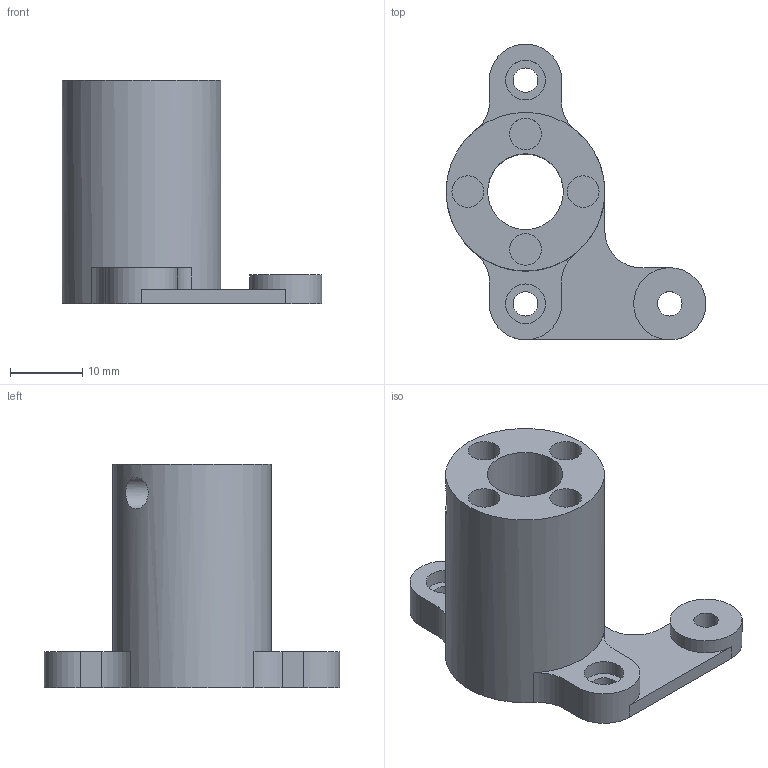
import cadquery as cq
import math

sleeve_radius = 11.0
sleeve_height = 31.0
bore_diameter = 10.5

insert_diameter = 4.4
insert_depth = 8.0
insert_circle_radius = 8.0
insert_count = 4
radial_hole_angle = 135.0
radial_hole_z = 27.0

ear_radius = 5.0
ear_offset = 15.5
ear_height = 5.0
blend_radius = 5.0
screw_diameter = 3.4
counterbore_diameter = 5.5
counterbore_depth = 2.0

boss_x = 20.0
boss_height = 4.0
web_thickness = 2.0


def cylinder(x, y, z, diameter, height):
    """Vertical cylinder that stands on the point (x, y, z)."""
    return cq.Workplane("XY", origin=(x, y, z)).circle(diameter / 2).extrude(height)


def make_ear(side):
    """Round-ended ear with concave blends tangent to the sleeve; side is +1 for +Y, -1 for -Y."""
    blend_x = ear_radius + blend_radius
    blend_y = math.sqrt((sleeve_radius + blend_radius) ** 2 - blend_x ** 2)
    share = sleeve_radius / (sleeve_radius + blend_radius)
    foot_x = blend_x * share
    foot_y = blend_y * share
    half_sweep = math.atan2(blend_y, blend_x) / 2
    middle_x = blend_x - blend_radius * math.cos(half_sweep)
    middle_y = blend_y - blend_radius * math.sin(half_sweep)
    return (
        cq.Workplane("XY")
        .moveTo(0, 0)
        .lineTo(foot_x, side * foot_y)
        .threePointArc((middle_x, side * middle_y), (ear_radius, side * blend_y))
        .lineTo(ear_radius, side * ear_offset)
        .threePointArc((0, side * (ear_offset + ear_radius)), (-ear_radius, side * ear_offset))
        .lineTo(-ear_radius, side * blend_y)
        .threePointArc((-middle_x, side * middle_y), (-foot_x, side * foot_y))
        .close()
        .extrude(ear_height)
    )


def make_arm():
    """Thin L-shaped web from the sleeve to the boss, with a rounded inner corner."""
    lower_edge = -ear_offset - ear_radius
    upper_edge = -ear_offset + ear_radius
    web = (
        cq.Workplane("XY")
        .moveTo(0, 0)
        .lineTo(sleeve_radius, 0)
        .lineTo(sleeve_radius, upper_edge + blend_radius)
        .radiusArc((sleeve_radius + blend_radius, upper_edge), -blend_radius)
        .lineTo(boss_x, upper_edge)
        .lineTo(boss_x, lower_edge)
        .lineTo(0, lower_edge)
        .close()
        .extrude(web_thickness)
    )
    boss = cylinder(boss_x, -ear_offset, 0, 2 * ear_radius, boss_height)
    return web.union(boss)


def make_body():
    body = cylinder(0, 0, 0, 2 * sleeve_radius, sleeve_height)
    for side in (1, -1):
        body = body.union(make_ear(side))
    return body.union(make_arm())


def cut_screw_holes(body):
    """Screw holes through both ears and the boss; the ear holes are counterbored from above."""
    for x, y in ((0, ear_offset), (0, -ear_offset), (boss_x, -ear_offset)):
        body = body.cut(cylinder(x, y, 0, screw_diameter, ear_height))
    for y in (ear_offset, -ear_offset):
        floor = ear_height - counterbore_depth
        body = body.cut(cylinder(0, y, floor, counterbore_diameter, counterbore_depth))
    return body


def cut_sleeve_holes(body):
    """Bore, blind holes in the top face and one radial hole from the wall into the bore."""
    body = body.cut(cylinder(0, 0, 0, bore_diameter, sleeve_height))
    for index in range(insert_count):
        angle = 2 * math.pi * index / insert_count
        x = insert_circle_radius * math.cos(angle)
        y = insert_circle_radius * math.sin(angle)
        body = body.cut(cylinder(x, y, sleeve_height - insert_depth, insert_diameter, insert_depth))
    direction = math.radians(radial_hole_angle)
    radial_hole = cq.Solid.makeCylinder(
        insert_diameter / 2,
        2 * sleeve_radius,
        cq.Vector(0, 0, radial_hole_z),
        cq.Vector(math.cos(direction), math.sin(direction), 0),
    )
    return body.cut(cq.Workplane("XY").add(radial_hole))


result = cut_sleeve_holes(cut_screw_holes(make_body()))